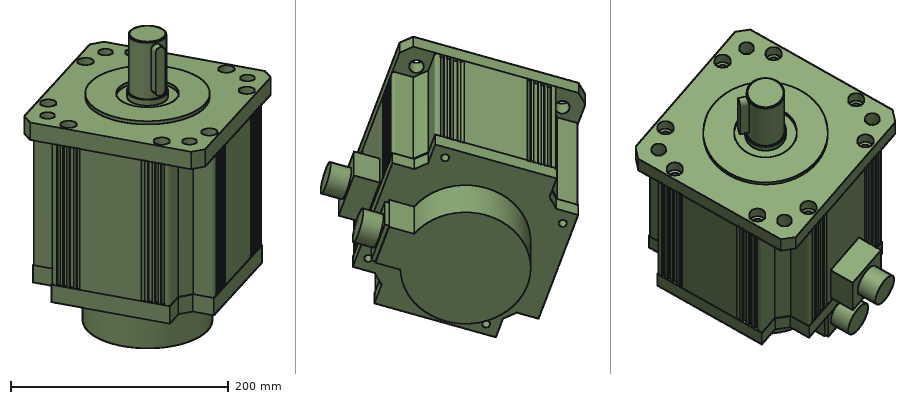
import cadquery as cq
import math

total_height = 294.0
motor_width = 180.0
half_width = motor_width / 2
quarter_turns = [0, 90, 180, 270]

encoder_height = 48.2
flange_thickness = 18.0
stator_height = 145.0
pilot_height = 3.5
stator_bottom = encoder_height + flange_thickness
front_flange_bottom = stator_bottom + stator_height
front_flange_top = front_flange_bottom + flange_thickness
pilot_top = front_flange_top + pilot_height

front_corner_chamfer = 10.0
pilot_diameter = 114.7
seal_recess_diameter = 57.5
seal_recess_depth = 3.2
mount_hole_spacing = 141.0
mount_hole_diameter = 13.5
screw_circle_radius = 92.3
screw_hole_diameter = 8.8
counterbore_diameter = 15.0
counterbore_depth = 11.8
screw_angle = 30.0
screw_pattern_turn = 0.3

notch_edge = 58.8
notch_chamfer = 10.0
stator_core_radius = 91.0
stator_corner_radius = 2.5

groove_depth = 2.5
panel_half_width = 30.5
sloped_groove_width = 3.5
groove_spans = [(36.8, 41.2), (43.8, 47.3), (50.0, 53.5)]

tie_hole_diameter = 7.4
tie_circle_radius = 91.5
tie_hole_angle = 60.0

shaft_diameter = 35.0
shaft_chamfer = 1.0
collar_diameter = 38.0
collar_top = 235.2
key_width = 10.0
key_length = 50.0
key_bottom = 241.0
key_inner_radius = 12.5
key_outer_radius = 25.3
key_angle = -40.0

encoder_radius = 60.0
encoder_box_width = 40.5
encoder_box_reach = 80.5
encoder_plate_thickness = 4.0
encoder_plate_side = 40.5
encoder_plug_diameter = 32.3
encoder_plug_length = 19.5
encoder_plug_z = 22.5

power_box_width = 45.5
power_box_height = 42.5
power_box_length = 25.0
power_plug_diameter = 30.3
power_plug_length = 20.0
power_offset_x = 1.5
power_z = 93.5


def polar_point(radius, angle):
    """Point in the XY plane at an angle in degrees from +X."""
    return (radius * math.cos(math.radians(angle)), radius * math.sin(math.radians(angle)))


def cylinder(diameter, bottom, top):
    """Upright cylinder on the motor axis."""
    return cq.Workplane("XY").workplane(offset=bottom).circle(diameter / 2).extrude(top - bottom)


def block(width, y_start, y_end, height, x_center, z_center):
    """Box between two Y positions, centred in X and Z."""
    return cq.Workplane("XY").box(width, y_end - y_start, height).translate(
        (x_center, (y_start + y_end) / 2, z_center)
    )


def plug(diameter, y_start, length, x_center, z_center):
    """Round connector plug pointing along +Y."""
    return cq.Workplane("XZ", origin=(x_center, y_start, z_center)).circle(diameter / 2).extrude(-length)


def corner_cutters(bottom, height):
    """Four square posts that remove the corners outside the notch walls."""
    side = half_width
    center = notch_edge + side / 2
    corners = [(sx * center, sy * center) for sx in (-1, 1) for sy in (-1, 1)]
    return cq.Workplane("XY").workplane(offset=bottom).pushPoints(corners).rect(side, side).extrude(height)


def square_block(bottom, height):
    """Upright block with the square motor outline."""
    return cq.Workplane("XY").workplane(offset=bottom).rect(motor_width, motor_width).extrude(height)


def notched_block(bottom, height):
    """Square block whose corners are notched down to a cross."""
    return square_block(bottom, height).cut(corner_cutters(bottom, height))


def edges_at_notches(body, x_distance, y_distance, bottom, height):
    """Vertical edges at (+-x_distance, +-y_distance)."""
    tolerance = 0.3
    selected = body.newObject([])
    for sx in (-1, 1):
        for sy in (-1, 1):
            low = (sx * x_distance - tolerance, sy * y_distance - tolerance, bottom - tolerance)
            high = (sx * x_distance + tolerance, sy * y_distance + tolerance, bottom + height + tolerance)
            selected = selected.add(body.edges("|Z").edges(cq.selectors.BoxSelector(low, high)))
    return selected


def tie_holes(bottom, height):
    """Tie rod holes, a quarter turn apart."""
    points = [polar_point(tie_circle_radius, tie_hole_angle + turn) for turn in quarter_turns]
    holes = cq.Workplane("XY").workplane(offset=bottom).pushPoints(points)
    return holes.circle(tie_hole_diameter / 2).extrude(height)


def side_grooves():
    """Grooves in the +Y side: plain slots and one sloped groove on each half."""
    floor_y = half_width - groove_depth
    sloped_end = panel_half_width + sloped_groove_width
    grooves = (
        cq.Workplane("XY")
        .workplane(offset=stator_bottom)
        .polyline([(panel_half_width, half_width), (sloped_end, half_width), (sloped_end, floor_y)])
        .close()
        .extrude(stator_height)
    )
    for start, end in groove_spans:
        slot = block(end - start, floor_y, half_width, stator_height,
                     (start + end) / 2, stator_bottom + stator_height / 2)
        grooves = grooves.add(slot)
    grooves = grooves.combine()
    return grooves.union(grooves.mirror("YZ"))


def make_front_flange():
    flange = square_block(front_flange_bottom, flange_thickness)
    flange = flange.edges("|Z").chamfer(front_corner_chamfer)
    flange = flange.union(cylinder(pilot_diameter, front_flange_top, pilot_top))
    flange = flange.cut(cylinder(seal_recess_diameter, pilot_top - seal_recess_depth, pilot_top))
    flange_face = cq.Workplane("XY").workplane(offset=front_flange_top)
    mount_holes = (
        flange_face.rect(mount_hole_spacing, mount_hole_spacing, forConstruction=True)
        .vertices()
        .circle(mount_hole_diameter / 2)
        .extrude(-flange_thickness)
    )
    screw_points = [
        polar_point(screw_circle_radius, turn + angle + screw_pattern_turn)
        for turn in quarter_turns
        for angle in (screw_angle, 90 - screw_angle)
    ]
    screw_holes = flange_face.pushPoints(screw_points).circle(screw_hole_diameter / 2).extrude(-flange_thickness)
    counterbores = flange_face.pushPoints(screw_points).circle(counterbore_diameter / 2).extrude(-counterbore_depth)
    return flange.cut(mount_holes).cut(screw_holes).cut(counterbores)


def make_stator():
    stator = notched_block(stator_bottom, stator_height)
    for x, y in ((notch_edge, half_width), (half_width, notch_edge)):
        stator = edges_at_notches(stator, x, y, stator_bottom, stator_height).fillet(stator_corner_radius)
    core = cylinder(2 * stator_core_radius, stator_bottom, front_flange_bottom)
    core = core.intersect(square_block(stator_bottom, stator_height))
    stator = stator.union(core)
    grooves = side_grooves()
    for turn in quarter_turns:
        stator = stator.cut(grooves.rotate((0, 0, 0), (0, 0, 1), turn))
    return stator.cut(tie_holes(stator_bottom, stator_height))


def make_rear_flange():
    flange = notched_block(encoder_height, flange_thickness)
    flange = edges_at_notches(flange, notch_edge, notch_edge, encoder_height, flange_thickness).chamfer(notch_chamfer)
    return flange.cut(tie_holes(encoder_height, flange_thickness))


def make_key():
    """Round-ended key laid along the shaft and turned to its angle about the motor axis."""
    return (
        cq.Workplane("YZ", origin=(key_inner_radius, 0, key_bottom + key_length / 2))
        .slot2D(key_length, key_width, 90)
        .extrude(key_outer_radius - key_inner_radius)
        .rotate((0, 0, 0), (0, 0, 1), key_angle)
    )


def make_shaft(key_body):
    collar = cylinder(collar_diameter, pilot_top - seal_recess_depth, collar_top)
    journal = cylinder(shaft_diameter, collar_top, total_height).faces(">Z").chamfer(shaft_chamfer)
    return collar.union(journal).cut(key_body)


def make_encoder_cover():
    cover = cylinder(2 * encoder_radius, 0, encoder_height)
    return cover.union(block(encoder_box_width, 0, encoder_box_reach, encoder_height, 0, encoder_height / 2))


def make_encoder_connector():
    plate_end = encoder_box_reach + encoder_plate_thickness
    plate = block(encoder_plate_side, encoder_box_reach, plate_end, encoder_plate_side, 0, encoder_plug_z)
    return plate.union(plug(encoder_plug_diameter, plate_end, encoder_plug_length, 0, encoder_plug_z))


def make_power_connector():
    box_end = half_width + power_box_length
    box = block(power_box_width, half_width, box_end, power_box_height, power_offset_x, power_z)
    return box.union(plug(power_plug_diameter, box_end, power_plug_length, power_offset_x, power_z))


front_flange = make_front_flange()
stator = make_stator()
rear_flange = make_rear_flange()
key = make_key()
shaft = make_shaft(key)
encoder_cover = make_encoder_cover()
encoder_connector = make_encoder_connector()
power_connector = make_power_connector()

result = cq.Compound.makeCompound([
    front_flange.solids().val(),
    stator.solids().val(),
    rear_flange.solids().val(),
    shaft.solids().val(),
    key.solids().val(),
    encoder_cover.solids().val(),
    encoder_connector.solids().val(),
    power_connector.solids().val(),
])